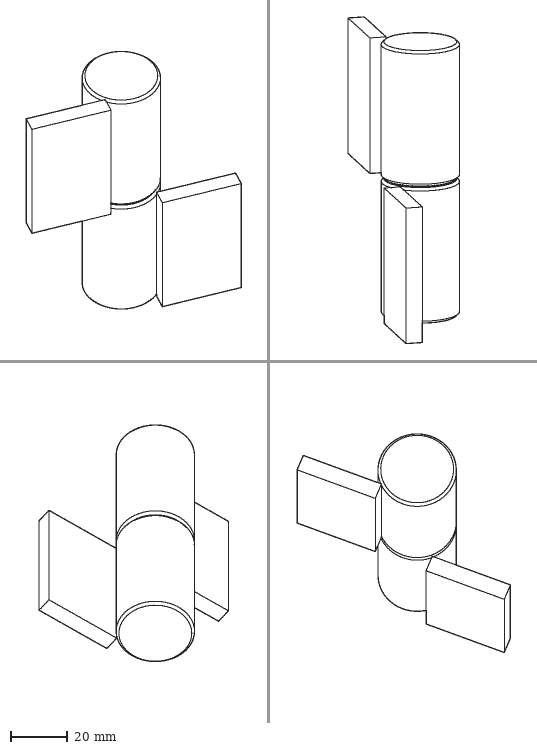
import cadquery as cq

total_height = 100.5
total_depth = 79.6
total_width = 30.0

barrel_diameter = 28.0
barrel_chamfer = 1.0
washer_diameter = 24.0
washer_thickness = 0.5
barrel_height = (total_height - washer_thickness) / 2

leaf_thickness = 6.0
leaf_outer_x = total_width - barrel_diameter / 2
leaf_inner_y = 9.7
leaf_length = total_depth / 2 - leaf_inner_y


def hinge_half(base_z, side):
    """Barrel and leaf starting at base_z; side is the Y direction of the leaf."""
    barrel = (
        cq.Workplane("XY", origin=(0, 0, base_z))
        .circle(barrel_diameter / 2)
        .extrude(barrel_height)
        .faces("<Z or >Z")
        .chamfer(barrel_chamfer)
    )
    leaf_center_x = leaf_outer_x - leaf_thickness / 2
    leaf_center_y = side * (leaf_inner_y + leaf_length / 2)
    leaf = (
        cq.Workplane("XY", origin=(leaf_center_x, leaf_center_y, base_z))
        .rect(leaf_thickness, leaf_length)
        .extrude(barrel_height)
    )
    return barrel.union(leaf)


lower_half = hinge_half(0, 1)
upper_half = hinge_half(barrel_height + washer_thickness, -1)
washer = (
    cq.Workplane("XY", origin=(0, 0, barrel_height))
    .circle(washer_diameter / 2)
    .extrude(washer_thickness)
)

result = lower_half.union(washer).union(upper_half)